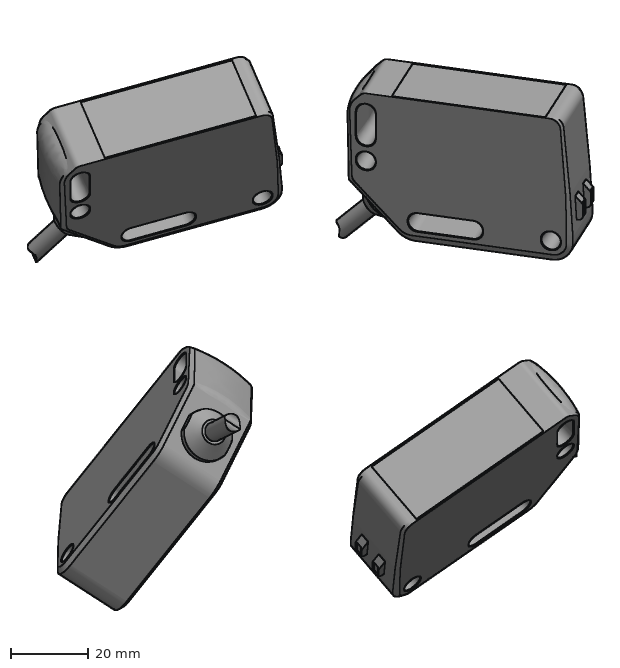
import cadquery as cq
import math


width = 20.0
half_width = width / 2
height = 41.75
edge_bevel = 1.0
core_half_width = half_width - edge_bevel
top_front_y = 5.45
top_bevel_sum = top_front_y - height
top_edge_radius = 2.05
slope_sum = 16.7

cover_sag = 0.95
cover_corner_z = 34.75
cover_corner_radius = 6.05
cover_top_z = cover_corner_z + cover_corner_radius
cover_lean = 0.02
cover_foot_y = 0.35
cover_foot_radius = 3.4
cover_back_y = 9.55
cover_bottom_z = slope_sum - cover_back_y

label_width = 19.1
label_front_y = 13.15
label_length = 41.55
label_depth = 0.15

hole_mid_radius = 2.2
hole_face_radius = 2.6
hole_edge_break = 0.2
front_holes_y = 6.3
low_holes_z = 6.05
round_holes = [(front_holes_y, 22.0), (56.3, low_holes_z)]
front_slot_z = 32.5
front_slot_pitch = 6.95
low_slot_y = 27.8
low_slot_pitch = 15.0

outlet_y = 8.8
outlet_z = slope_sum - outlet_y
outlet_plane = cq.Plane(origin=(0, outlet_y, outlet_z), xDir=(1, 0, 0), normal=(0, -1, -1))
gland_radius = 6.9
gland_flats = 12.95
gland_rim = 1.7
gland_height = 5.25
gland_tip_radius = 3.35
cable_radius = 2.5
cable_reach = 27.25
cable_tip_y = -4.6
cable_lowest_z = -6.2

button_spacing = 7.2
button_width = 2.7
button_tip_y = 63.5
button_root_y = 59.95
button_low_z = 10.55
button_high_z = button_low_z + 6.8
button_dish_width = 1.65
button_dish_depth = 0.2


def rounded_outline(x, corners):
    """Closed wire in the plane at x, from (y, z, radius) corners; radius 0 stays sharp."""
    ends = []
    for i, (y, z, radius) in enumerate(corners):
        here = cq.Vector(x, y, z)
        before = (cq.Vector(x, *corners[i - 1][:2]) - here).normalized()
        after = (cq.Vector(x, *corners[(i + 1) % len(corners)][:2]) - here).normalized()
        half_angle = before.getAngle(after) / 2
        reach = radius / math.tan(half_angle)
        bisector = (before + after).normalized()
        middle = here + bisector * (radius / math.sin(half_angle) - radius)
        ends.append((here + before * reach, middle, here + after * reach, radius))
    edges = []
    for i, (start, middle, end, radius) in enumerate(ends):
        if radius > 0:
            edges.append(cq.Edge.makeThreePointArc(start, middle, end))
        edges.append(cq.Edge.makeLine(end, ends[(i + 1) % len(ends)][0]))
    return cq.Wire.assembleEdges(edges)


def core_outline(x):
    """Full outline of the housing at the inner edge of the sloped border."""
    front_top_y, front_low_y, back_y = 0.95, 1.3, 62.0
    return rounded_outline(x, [
        (top_front_y, height, top_edge_radius),
        (front_top_y, front_top_y - top_bevel_sum, 6.3),
        (front_low_y, slope_sum - front_low_y, 0.7),
        (slope_sum, 0, 6.8),
        (back_y, 0, 5.7),
        (back_y, 7.5, 0),
        (61.2, 19.75, 0),
        (59.25, height, 2.85),
    ])


def face_outline(x):
    """Smaller outline of the flat side face."""
    front_top_y, front_low_y, back_y, low_z = 1.85, 2.5, 60.55, 2.05
    face_slope_sum = slope_sum + low_z
    return rounded_outline(x, [
        (top_front_y, height, top_edge_radius),
        (front_top_y, front_top_y - top_bevel_sum, 4.8),
        (front_low_y, face_slope_sum - front_low_y, 2.7),
        (face_slope_sum - low_z, low_z, 4.8),
        (back_y, low_z, 3.75),
        (back_y, 8.7, 0),
        (60.35, 19.75, 0),
        (58.7, height, 2.85),
    ])


def housing():
    core = cq.Solid.extrudeLinear(core_outline(-core_half_width), [], cq.Vector(2 * core_half_width, 0, 0))
    body = cq.Workplane(core)
    for side in (-1, 1):
        border = cq.Solid.makeLoft(
            [core_outline(side * core_half_width), face_outline(side * half_width)], True)
        body = body.union(cq.Workplane(border))
    return body


def front_cover():
    """Block with a bulging front that leans back towards its foot, rounded at top and foot."""
    drop = cover_top_z - cover_bottom_z
    front_y = -cover_lean * (cover_top_z - cover_corner_z)
    section = (cq.Workplane("XY", origin=(0, 0, cover_top_z))
               .moveTo(-core_half_width, cover_back_y)
               .lineTo(-core_half_width, front_y + cover_sag)
               .threePointArc((0, front_y), (core_half_width, front_y + cover_sag))
               .lineTo(core_half_width, cover_back_y)
               .close()
               .wire().val())
    block = cq.Workplane(cq.Solid.extrudeLinear(section, [], cq.Vector(0, cover_lean * drop, -drop)))
    below_slope = (cq.Workplane("YZ", origin=(-half_width, 0, 0))
                   .moveTo(-cover_back_y, slope_sum + cover_back_y)
                   .lineTo(slope_sum, 0)
                   .lineTo(-cover_back_y, 0)
                   .close()
                   .extrude(width))
    block = block.cut(below_slope)
    top_edge = cq.selectors.NearestToPointSelector((0, front_y, cover_top_z))
    foot_edge = cq.selectors.NearestToPointSelector((0, cover_foot_y, slope_sum - cover_foot_y))
    return block.edges(top_edge).fillet(cover_corner_radius).edges(foot_edge).fillet(cover_foot_radius)


def hole_cutter(y, z, pitch=0.0, angle=0.0):
    """Through hole or slot, drafted from both side faces to its narrowest at mid width."""
    draft = math.degrees(math.atan((hole_face_radius - hole_mid_radius) / half_width))
    cutter = cq.Workplane("XY")
    for side in (-1, 1):
        plane = cq.Plane(origin=(side * half_width, y, z), xDir=(0, 1, 0), normal=(-side, 0, 0))

        def outline(radius):
            sketch = cq.Workplane(plane)
            if pitch:
                return sketch.slot2D(pitch + 2 * radius, 2 * radius, angle)
            return sketch.circle(radius)

        cutter = cutter.union(outline(hole_face_radius).extrude(half_width, taper=draft))
        cutter = cutter.union(outline(hole_face_radius + hole_edge_break).extrude(hole_edge_break, taper=45))
    return cutter


def label_recess():
    center_y = label_front_y + label_length / 2
    return (cq.Workplane("XY", origin=(0, center_y, height - label_depth))
            .rect(label_width, label_length).extrude(label_depth))


def cable_gland():
    cone_height = gland_height - gland_rim
    cone_taper = math.degrees(math.atan((gland_radius - gland_tip_radius) / cone_height))
    rim = cq.Workplane(outlet_plane).circle(gland_radius).extrude(gland_rim)
    cone = (cq.Workplane(outlet_plane).workplane(offset=gland_rim)
            .circle(gland_radius).extrude(cone_height, taper=cone_taper))
    flats = cq.Workplane(outlet_plane).rect(gland_flats, 2 * gland_radius).extrude(gland_height)
    return rim.union(cone).intersect(flats)


def cable():
    straight = cq.Workplane(outlet_plane).circle(cable_radius).extrude(cable_reach)
    axis_offset = outlet_y - outlet_z
    edge_offset = math.sqrt(2) * cable_radius
    tip_z = cable_tip_y - (axis_offset - edge_offset)
    lowest_y = cable_lowest_z + axis_offset + edge_offset
    broken_end = (cq.Workplane("YZ", origin=(-cable_radius, 0, 0))
                  .moveTo(cable_tip_y, tip_z)
                  .threePointArc((-3.55, -2.4), (-3.1, -3.4))
                  .lineTo(-3.3, -5.25)
                  .threePointArc((-2.8, -5.85), (lowest_y, cable_lowest_z))
                  .lineTo(lowest_y, -cable_reach)
                  .lineTo(-cable_reach, -cable_reach)
                  .lineTo(-cable_reach, tip_z)
                  .close()
                  .extrude(2 * cable_radius))
    return straight.cut(broken_end)


def button(x):
    """Push button with a rounded lower lip, a sloped top and a shallow dish along its tip."""
    body = (cq.Workplane("YZ", origin=(x - button_width / 2, 0, 0))
            .moveTo(button_root_y, button_low_z)
            .lineTo(button_tip_y - 1.5, button_low_z)
            .threePointArc((button_tip_y - 0.4, button_low_z + 0.35), (button_tip_y, button_low_z + 1.1))
            .lineTo(button_tip_y, button_high_z - 2.45)
            .threePointArc((button_tip_y - 0.1, button_high_z - 2.05),
                           (button_tip_y - 0.3, button_high_z - 1.8))
            .lineTo(button_tip_y - 2.05, button_high_z)
            .lineTo(button_root_y, button_high_z)
            .close()
            .extrude(button_width))
    dish = (cq.Workplane("XY", origin=(x, button_tip_y, 0))
            .rect(button_dish_width, 2 * button_dish_depth).extrude(height))
    return body.cut(dish)


result = housing().union(front_cover()).union(cable_gland()).union(cable())
for side in (-1, 1):
    result = result.union(button(side * button_spacing / 2))
result = result.cut(label_recess())
for hole_y, hole_z in round_holes:
    result = result.cut(hole_cutter(hole_y, hole_z))
result = result.cut(hole_cutter(front_holes_y, front_slot_z, front_slot_pitch, 90))
result = result.cut(hole_cutter(low_slot_y, low_holes_z, low_slot_pitch))